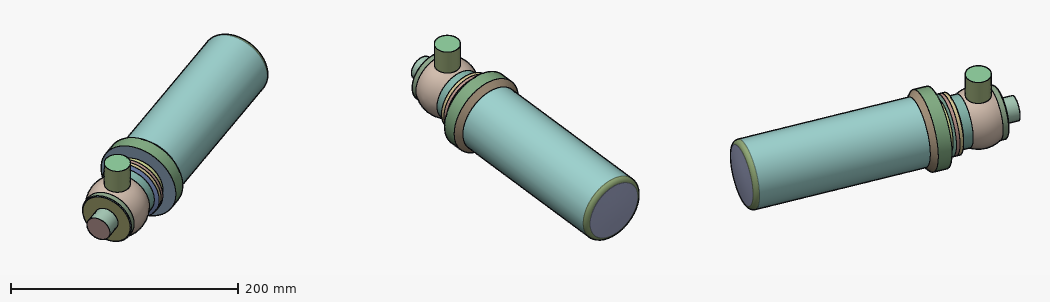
import cadquery as cq
import math

total_length = 259.5

pipe_radius = 23.0 / 2
side_pipe_height = 87.5

valve_radius = 49.0 / 2
valve_front = 15.0
valve_chamfer = 0.8
ball_radius = 28.3
ball_center = 35.0

joint_face = 63.0
collar_radius = 28.5
collar_rim_width = 3.5
collar_width = 5.0

flange_radius = 75.0 / 2
flange_front = 74.0
flange_width = 13.0
cylinder_radius = 64.0 / 2
crown_edge_radius = 4.7
crown_sphere_radius = 207.5


def make_valve():
    """Ball valve body with outlet, side pipe and its half of the clamped joint."""
    half_ball = math.sqrt(ball_radius**2 - valve_radius**2)
    body = (
        cq.Workplane("XY")
        .moveTo(0, 0)
        .lineTo(pipe_radius, 0)
        .lineTo(pipe_radius, valve_front)
        .lineTo(valve_radius - valve_chamfer, valve_front)
        .lineTo(valve_radius, valve_front + valve_chamfer)
        .lineTo(valve_radius, ball_center - half_ball)
        .threePointArc((ball_radius, ball_center), (valve_radius, ball_center + half_ball))
        .lineTo(valve_radius, joint_face - collar_width)
        .lineTo(collar_radius, joint_face - collar_rim_width)
        .lineTo(collar_radius, joint_face)
        .lineTo(0, joint_face)
        .close()
        .revolve(360, (0, 0, 0), (0, 1, 0))
    )
    side_pipe = (
        cq.Workplane("XY")
        .center(0, ball_center)
        .circle(pipe_radius)
        .extrude(side_pipe_height - flange_radius)
    )
    return body.union(side_pipe)


def make_actuator():
    """Flanged cylinder with a crowned end and its half of the clamped joint."""
    flange_back = flange_front + flange_width
    cone_end = flange_back + flange_radius - cylinder_radius
    crown_center = total_length - crown_sphere_radius
    edge_x = cylinder_radius - crown_edge_radius
    edge_reach = crown_sphere_radius - crown_edge_radius
    edge_y = crown_center + math.sqrt(edge_reach**2 - edge_x**2)
    tilt = math.asin(edge_x / edge_reach)
    mid_tilt = (tilt + math.pi / 2) / 2

    def edge_point(angle):
        return (
            edge_x + crown_edge_radius * math.sin(angle),
            edge_y + crown_edge_radius * math.cos(angle),
        )

    def crown_point(angle):
        return (
            crown_sphere_radius * math.sin(angle),
            crown_center + crown_sphere_radius * math.cos(angle),
        )

    return (
        cq.Workplane("XY")
        .moveTo(0, joint_face)
        .lineTo(collar_radius, joint_face)
        .lineTo(collar_radius, joint_face + collar_rim_width)
        .lineTo(valve_radius, joint_face + collar_width)
        .lineTo(valve_radius, flange_front)
        .lineTo(flange_radius, flange_front)
        .lineTo(flange_radius, flange_back)
        .lineTo(cylinder_radius, cone_end)
        .lineTo(cylinder_radius, edge_y)
        .threePointArc(edge_point(mid_tilt), edge_point(tilt))
        .threePointArc(crown_point(tilt / 2), (0, total_length))
        .close()
        .revolve(360, (0, 0, 0), (0, 1, 0))
    )


valve = make_valve()
actuator = make_actuator()

result = cq.Compound.makeCompound([valve.val(), actuator.val()])